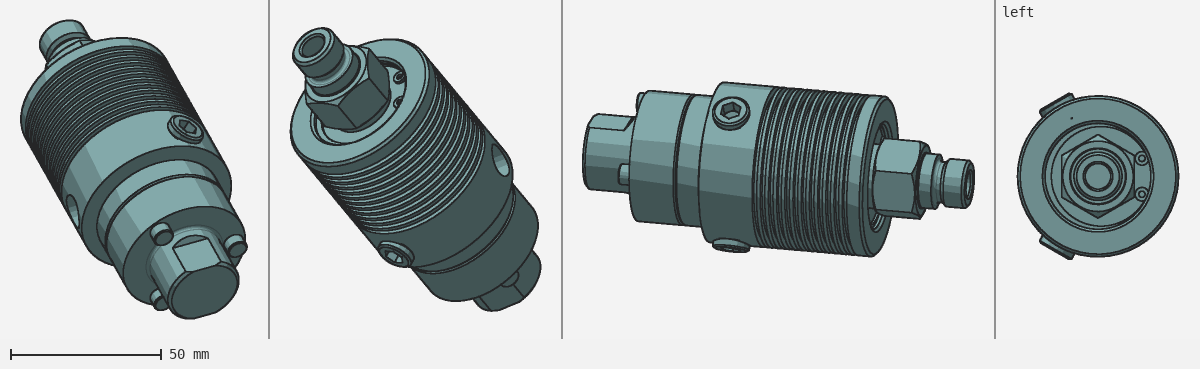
import cadquery as cq
import math


OVERALL_LENGTH = 129.0
HOUSING_FRONT = 30.3
FLANGE_END = 85.9
SHOULDER_END = 87.2
COVER_END = 110.8

HOUSING_DIAMETER = 53.4
HOUSING_CHAMFER = 0.9
BARREL_DIAMETER = 43.6
FIN_ROOT_DIAMETER = 48.4
FIN_GROOVE_COUNT = 12
FIN_GROOVES_START = 35.5
FIN_GROOVES_END = 67.7
FIN_GROOVE_WIDTH = 1.5
FIN_GROOVE_PITCH = (FIN_GROOVES_END - FIN_GROOVES_START - FIN_GROOVE_WIDTH) / (FIN_GROOVE_COUNT - 1)
SEAM_GROOVE_CENTER = 95.2
SEAM_GROOVE_WIDTH = 1.2
SEAM_GROOVE_DEPTH = 0.5

CONNECTOR_DIAMETER = 25.4
CONNECTOR_CHAMFER = 1.0
CONNECTOR_FILLET = 1.0
WRENCH_FLATS = 22.0
WRENCH_FLATS_START = 116.2

SCREW_COUNT = 3
SCREW_HEAD_DIAMETER = 6.8
SCREW_HEAD_HEIGHT = 4.0
SCREW_HEAD_CHAMFER = 0.4
SCREW_CIRCLE_RADIUS = 17.5

RECESS_DIAMETER = 35.1
RECESS_CHAMFER = 0.9
RECESS_DEPTH = 3.0
RING_DEPTH = 2.0
RING_THICKNESS = RECESS_DEPTH - RING_DEPTH
RING_INNER_DIAMETER = 33.0
RING_OFFSET = 1.0
EAR_DIAMETER = 4.5
EAR_HOLE_DIAMETER = 2.0
EAR_Y = -14.6
EAR_Z = 5.9
RING_GAP_HEIGHT = 2 * EAR_Z + EAR_DIAMETER

PORT_COUNT = 3
PORT_X = 77.9
PORT_DIAMETER = 11.3
PORT_FLOOR_RADIUS = 21.0
PLUG_ANGLES = (60, -60)
PLUG_HEAD_DIAMETER = 12.3
PLUG_FACE_DIAMETER = 10.7
PLUG_TOP_RADIUS = 28.6
PLUG_CHAMFER_HEIGHT = 0.5
PLUG_SEAT_RADIUS = 25.9
PLUG_SOCKET_FLATS = 6.0
PLUG_SOCKET_DEPTH = 4.1
DRILL_POINT_ANGLE = 120

NOSE_DIAMETER = 16.0
NOSE_CHAMFER = 0.9
NOSE_END = 7.1
NECK_DIAMETER = 13.5
NECK_FILLET = 1.2
COLLAR_START = 11.0
COLLAR_DIAMETER = 18.2
HEX_START = 15.6
WASHER_FACE_DIAMETER = 18.7
WASHER_FACE_LENGTH = 0.4
HEX_FLATS = 24.0
HEX_FACE_DIAMETER = 23.3
HEX_CHAMFER_ANGLE = 30
JOURNAL_DIAMETER = 21.4
JOURNAL_END = 87.7
BORE_DIAMETER = 8.5
BORE_CHAMFER = 0.6
BORE_DEPTH = 77.4


def x_cylinder(start, length, diameter, y=0.0, z=0.0):
    """Cylinder along +X from the given start."""
    return cq.Workplane("YZ", origin=(start, y, z)).circle(diameter / 2).extrude(length)


def hex_prism(plane, flats, length):
    """Hexagonal prism from a flat-to-flat width, with two corners on the plane's local Y axis."""
    corners = flats / math.cos(math.pi / 6)
    return cq.Workplane(plane).transformed(rotate=(0, 0, 90)).polygon(6, corners).extrude(length)


def revolved_about_x(outline):
    """Solid of revolution about the X axis from an outline in the XY plane."""
    return outline.close().revolve(360, (0, 0, 0), (1, 0, 0))


def port_plane(angle, radius):
    """Plane square to a radial port, facing outward; the angle runs from +Y toward +Z."""
    turn = math.radians(angle)
    outward = (0, math.cos(turn), math.sin(turn))
    origin = (PORT_X, radius * outward[1], radius * outward[2])
    return cq.Plane(origin=origin, xDir=(1, 0, 0), normal=outward)




def housing_turned_body():
    """Turned outside: flange, conical shoulder, barrel and the filleted rear connector."""
    flange_r = HOUSING_DIAMETER / 2
    barrel_r = BARREL_DIAMETER / 2
    connector_r = CONNECTOR_DIAMETER / 2
    fillet_middle = CONNECTOR_FILLET * (1 - math.sqrt(0.5))
    outline = (
        cq.Workplane("XY")
        .moveTo(HOUSING_FRONT, 0)
        .lineTo(HOUSING_FRONT, flange_r - HOUSING_CHAMFER)
        .lineTo(HOUSING_FRONT + HOUSING_CHAMFER, flange_r)
        .lineTo(FLANGE_END, flange_r)
        .lineTo(SHOULDER_END, barrel_r)
        .lineTo(COVER_END, barrel_r)
        .lineTo(COVER_END, connector_r + CONNECTOR_FILLET)
        .threePointArc(
            (COVER_END + fillet_middle, connector_r + fillet_middle),
            (COVER_END + CONNECTOR_FILLET, connector_r),
        )
        .lineTo(OVERALL_LENGTH - CONNECTOR_CHAMFER, connector_r)
        .lineTo(OVERALL_LENGTH, connector_r - CONNECTOR_CHAMFER)
        .lineTo(OVERALL_LENGTH, 0)
    )
    return revolved_about_x(outline)


def cut_fin_grooves(body):
    for index in range(FIN_GROOVE_COUNT):
        start = FIN_GROOVES_START + index * FIN_GROOVE_PITCH
        ring = x_cylinder(start, FIN_GROOVE_WIDTH, HOUSING_DIAMETER)
        ring = ring.cut(x_cylinder(start, FIN_GROOVE_WIDTH, FIN_ROOT_DIAMETER))
        body = body.cut(ring)
    return body


def cut_seam_groove(body):
    """Shallow V groove around the barrel."""
    barrel_r = BARREL_DIAMETER / 2
    outline = (
        cq.Workplane("XY")
        .moveTo(SEAM_GROOVE_CENTER - SEAM_GROOVE_WIDTH / 2, barrel_r)
        .lineTo(SEAM_GROOVE_CENTER, barrel_r - SEAM_GROOVE_DEPTH)
        .lineTo(SEAM_GROOVE_CENTER + SEAM_GROOVE_WIDTH / 2, barrel_r)
    )
    return body.cut(revolved_about_x(outline))


def cut_wrench_flats(body):
    """Two flats above and below the connector, running out on a 45 degree slope."""
    flat_z = WRENCH_FLATS / 2
    rise = CONNECTOR_DIAMETER / 2
    upper = (
        cq.Workplane("XZ")
        .moveTo(WRENCH_FLATS_START, flat_z)
        .lineTo(OVERALL_LENGTH, flat_z)
        .lineTo(OVERALL_LENGTH, flat_z + rise)
        .lineTo(WRENCH_FLATS_START - rise, flat_z + rise)
        .close()
        .extrude(CONNECTOR_DIAMETER / 2, both=True)
    )
    upper = upper.intersect(x_cylinder(COVER_END, OVERALL_LENGTH - COVER_END, CONNECTOR_DIAMETER))
    return body.cut(upper).cut(upper.mirror("XY"))


def add_screw_heads(body):
    for index in range(SCREW_COUNT):
        turn = math.radians(index * 360 / SCREW_COUNT)
        y = SCREW_CIRCLE_RADIUS * math.cos(turn)
        z = SCREW_CIRCLE_RADIUS * math.sin(turn)
        head = x_cylinder(COVER_END, SCREW_HEAD_HEIGHT, SCREW_HEAD_DIAMETER, y, z)
        body = body.union(head.faces(">X").chamfer(SCREW_HEAD_CHAMFER))
    return body


def cut_recess_and_journal_bore(body):
    """Chamfered front recess, and the blind bore that holds the shaft journal."""
    recess_r = RECESS_DIAMETER / 2
    floor = HOUSING_FRONT + RECESS_DEPTH
    outline = (
        cq.Workplane("XY")
        .moveTo(HOUSING_FRONT, 0)
        .lineTo(HOUSING_FRONT, recess_r + RECESS_CHAMFER)
        .lineTo(HOUSING_FRONT + RECESS_CHAMFER, recess_r)
        .lineTo(floor, recess_r)
        .lineTo(floor, JOURNAL_DIAMETER / 2)
        .lineTo(JOURNAL_END, JOURNAL_DIAMETER / 2)
        .lineTo(JOURNAL_END, 0)
    )
    return body.cut(revolved_about_x(outline))


def add_retaining_ring(body):
    """Open retaining ring in the recess: eccentric inside, with two eared ends toward -Y."""
    start = HOUSING_FRONT + RING_DEPTH
    ring = x_cylinder(start, RING_THICKNESS, RECESS_DIAMETER)
    ring = ring.cut(x_cylinder(start, RING_THICKNESS, RING_INNER_DIAMETER, y=-RING_OFFSET))
    gap = cq.Workplane("XY").box(
        RING_THICKNESS, RECESS_DIAMETER / 2, RING_GAP_HEIGHT, centered=(False, False, True)
    )
    ring = ring.cut(gap.translate((start, -RECESS_DIAMETER / 2, 0)))
    for z in (EAR_Z, -EAR_Z):
        ring = ring.union(x_cylinder(start, RING_THICKNESS, EAR_DIAMETER, EAR_Y, z))
        ring = ring.cut(x_cylinder(start, RING_THICKNESS, EAR_HOLE_DIAMETER, EAR_Y, z))
    return body.union(ring)


def cut_ports(body):
    """Radial ports down to a cylindrical floor about X, with flat seats for the two plug heads."""
    core = x_cylinder(PORT_X - PORT_DIAMETER, 2 * PORT_DIAMETER, 2 * PORT_FLOOR_RADIUS)
    for index in range(PORT_COUNT):
        angle = 180 + index * 360 / PORT_COUNT
        plane = port_plane(angle, 0)
        port = cq.Workplane(plane).circle(PORT_DIAMETER / 2).extrude(HOUSING_DIAMETER)
        body = body.cut(port.cut(core))
    for angle in PLUG_ANGLES:
        plane = port_plane(angle, PLUG_SEAT_RADIUS)
        body = body.cut(cq.Workplane(plane).circle(PLUG_HEAD_DIAMETER / 2).extrude(HOUSING_DIAMETER))
    return body


def make_housing():
    body = housing_turned_body()
    body = cut_fin_grooves(body)
    body = cut_seam_groove(body)
    body = cut_wrench_flats(body)
    body = add_screw_heads(body)
    body = cut_recess_and_journal_bore(body)
    body = add_retaining_ring(body)
    return cut_ports(body)




def shaft_turned_body():
    """Turned outside of the shaft, from the nose to the end of the journal."""
    nose_r = NOSE_DIAMETER / 2
    neck_r = NECK_DIAMETER / 2
    collar_r = COLLAR_DIAMETER / 2
    washer_start = HEX_START - WASHER_FACE_LENGTH
    fillet_middle = NECK_FILLET * (1 - math.sqrt(0.5))
    outline = (
        cq.Workplane("XY")
        .moveTo(0, 0)
        .lineTo(0, nose_r - NOSE_CHAMFER)
        .lineTo(NOSE_CHAMFER, nose_r)
        .lineTo(NOSE_END, nose_r)
        .lineTo(NOSE_END + nose_r - neck_r, neck_r)
        .lineTo(COLLAR_START - NECK_FILLET, neck_r)
        .threePointArc(
            (COLLAR_START - fillet_middle, neck_r + fillet_middle),
            (COLLAR_START, neck_r + NECK_FILLET),
        )
        .lineTo(COLLAR_START, collar_r)
        .lineTo(washer_start, collar_r)
        .lineTo(washer_start, WASHER_FACE_DIAMETER / 2)
        .lineTo(HEX_START, WASHER_FACE_DIAMETER / 2)
        .lineTo(HEX_START, JOURNAL_DIAMETER / 2)
        .lineTo(JOURNAL_END, JOURNAL_DIAMETER / 2)
        .lineTo(JOURNAL_END, 0)
    )
    return revolved_about_x(outline)


def shaft_hex():
    """Hexagon with its corners turned off at both ends; two corners point to +Z and -Z."""
    corner_r = HEX_FLATS / 2 / math.cos(math.pi / 6)
    face_r = HEX_FACE_DIAMETER / 2
    chamfer = (corner_r - face_r) * math.tan(math.radians(HEX_CHAMFER_ANGLE))
    plane = cq.Plane(origin=(HEX_START, 0, 0), xDir=(0, 1, 0), normal=(1, 0, 0))
    prism = hex_prism(plane, HEX_FLATS, HOUSING_FRONT - HEX_START)
    turned = revolved_about_x(
        cq.Workplane("XY")
        .moveTo(HEX_START, 0)
        .lineTo(HEX_START, face_r)
        .lineTo(HEX_START + chamfer, corner_r)
        .lineTo(HOUSING_FRONT - chamfer, corner_r)
        .lineTo(HOUSING_FRONT, face_r)
        .lineTo(HOUSING_FRONT, 0)
    )
    return prism.intersect(turned)


def shaft_bore():
    bore_r = BORE_DIAMETER / 2
    outline = (
        cq.Workplane("XY")
        .moveTo(0, 0)
        .lineTo(0, bore_r + BORE_CHAMFER)
        .lineTo(BORE_CHAMFER, bore_r)
        .lineTo(BORE_DEPTH, bore_r)
        .lineTo(BORE_DEPTH, 0)
    )
    return revolved_about_x(outline)


def make_shaft():
    return shaft_turned_body().union(shaft_hex()).cut(shaft_bore())




def make_plug(angle):
    """Plug with a chamfered head and a hexagon socket that ends in a drill point."""
    head_r = PLUG_HEAD_DIAMETER / 2
    shank_r = PORT_DIAMETER / 2
    seat = PLUG_SEAT_RADIUS - PORT_FLOOR_RADIUS
    top = PLUG_TOP_RADIUS - PORT_FLOOR_RADIUS
    socket_floor = top - PLUG_SOCKET_DEPTH
    socket_r = PLUG_SOCKET_FLATS / 2
    point_depth = socket_r / math.tan(math.radians(DRILL_POINT_ANGLE / 2))
    plane = port_plane(angle, PORT_FLOOR_RADIUS)
    body = (
        cq.Workplane("XZ")
        .moveTo(0, 0)
        .lineTo(shank_r, 0)
        .lineTo(shank_r, seat)
        .lineTo(head_r, seat)
        .lineTo(head_r, top - PLUG_CHAMFER_HEIGHT)
        .lineTo(PLUG_FACE_DIAMETER / 2, top)
        .lineTo(0, top)
        .close()
        .revolve(360, (0, 0, 0), (0, 1, 0))
    )
    socket = hex_prism(cq.Plane.XY(), PLUG_SOCKET_FLATS, PLUG_SOCKET_DEPTH)
    socket = socket.translate((0, 0, socket_floor))
    drill_point = cq.Workplane(
        cq.Solid.makeCone(0, socket_r, point_depth).translate(cq.Vector(0, 0, socket_floor - point_depth))
    )
    body = body.cut(socket).cut(drill_point)
    return cq.Workplane(body.val().located(cq.Location(plane)))


housing = make_housing()
shaft = make_shaft()
plugs = [make_plug(angle) for angle in PLUG_ANGLES]

result = cq.Compound.makeCompound([housing.val(), shaft.val(), *[plug.val() for plug in plugs]])